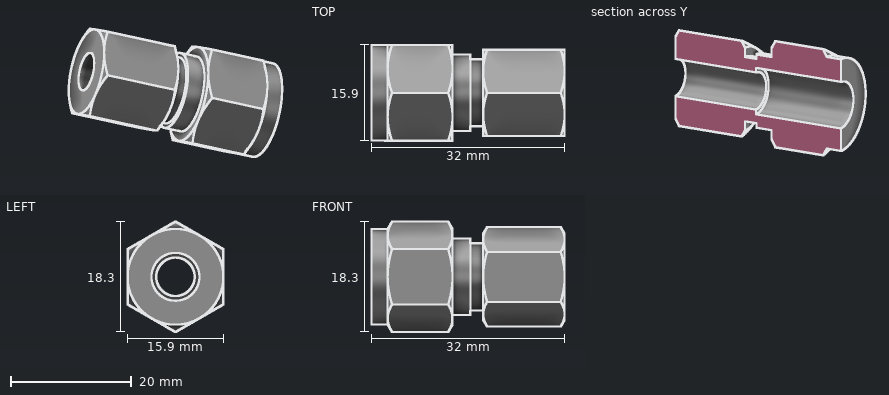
import cadquery as cq
import math

TOTAL_LENGTH = 32
COLLAR_END = 2.72
NUT_END = 13.45
SHOULDER_END = 16.4
BODY_HEX_START = 18.53

NUT_ACROSS_FLATS = 15.87
BODY_ACROSS_FLATS = 14.3
COLLAR_DIAMETER = NUT_ACROSS_FLATS
SHOULDER_DIAMETER = 12.7
NECK_DIAMETER = 11.17
TUBE_SOCKET_DIAMETER = 7.95
BORE_DIAMETER = 6.35

TUBE_SOCKET_DEPTH = SHOULDER_END
HEX_SIDES = 6
HEX_CHAMFER_ANGLE = 30


def cylinder(diameter, start, end):
    """Round bar along X between two stations."""
    return cq.Workplane("YZ", origin=(start, 0, 0)).circle(diameter / 2).extrude(end - start)


def chamfered_hex(across_flats, start, end):
    """Hexagon along X, corners up and down, with conical chamfers on both ends."""
    flat_radius = across_flats / 2
    corner_radius = flat_radius / math.cos(math.pi / HEX_SIDES)
    corners = [
        (
            corner_radius * math.sin(i * 2 * math.pi / HEX_SIDES),
            corner_radius * math.cos(i * 2 * math.pi / HEX_SIDES),
        )
        for i in range(HEX_SIDES)
    ]
    prism = cq.Workplane("YZ", origin=(start, 0, 0)).polyline(corners).close().extrude(end - start)

    cone_radius = 2 * corner_radius - flat_radius
    cone_length = (cone_radius - flat_radius) * math.tan(math.radians(HEX_CHAMFER_ANGLE))
    envelope = (
        cq.Workplane("XY")
        .moveTo(start, 0)
        .lineTo(start, flat_radius)
        .lineTo(start + cone_length, cone_radius)
        .lineTo(end - cone_length, cone_radius)
        .lineTo(end, flat_radius)
        .lineTo(end, 0)
        .close()
        .revolve(360, (0, 0, 0), (1, 0, 0))
    )
    return prism.intersect(envelope)


nut = cylinder(COLLAR_DIAMETER, 0, COLLAR_END).union(
    chamfered_hex(NUT_ACROSS_FLATS, COLLAR_END, NUT_END)
)

shoulder = cylinder(SHOULDER_DIAMETER, NUT_END, SHOULDER_END)
neck = cylinder(NECK_DIAMETER, SHOULDER_END, BODY_HEX_START)
body = chamfered_hex(BODY_ACROSS_FLATS, BODY_HEX_START, TOTAL_LENGTH)

bore = cylinder(BORE_DIAMETER, 0, TOTAL_LENGTH)
tube_socket = cylinder(TUBE_SOCKET_DIAMETER, 0, TUBE_SOCKET_DEPTH)

result = nut.union(shoulder).union(neck).union(body).cut(bore).cut(tube_socket)